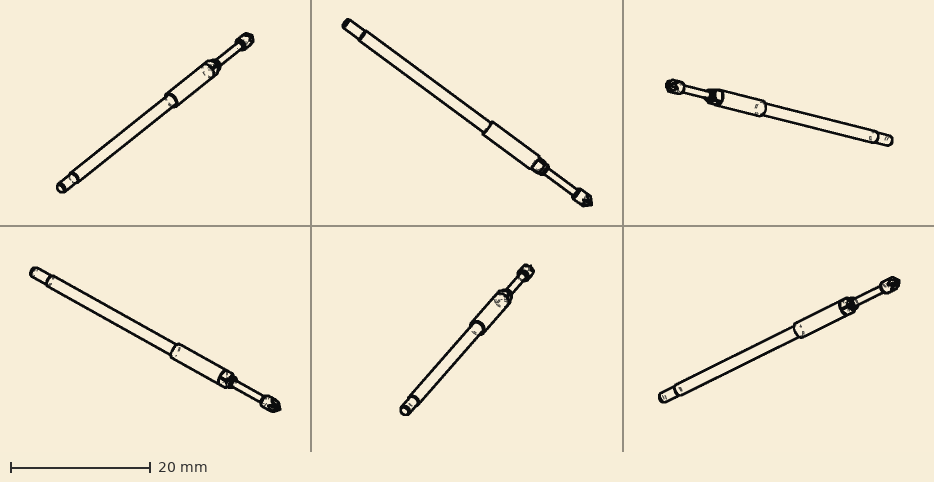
import cadquery as cq
import math

TOTAL_LENGTH = 44.3

HEAD_DIAMETER = 1.8
HEAD_LENGTH = 3.0
HEAD_CHAMFER_LENGTH = 0.27
HEAD_CHAMFER_DEPTH = 0.13

STAR_POINTS = 6
RIDGE_HALF_ANGLE = 45.0
VALLEY_HALF_ANGLE = 29.0

STEM_DIAMETER = 1.05

GUIDE_START = 8.3
GUIDE_DIAMETER = 1.74
GUIDE_CHAMFER_LENGTH = 0.27
GUIDE_CHAMFER_DEPTH = 0.13

FLATS_START = 9.0
FLATS_WIDTH = 1.75
FLATS_CORNER_CHAMFER = 0.2

COLLAR_START = 10.3
COLLAR_END = 18.75
COLLAR_DIAMETER = 2.3

BARREL_DIAMETER = GUIDE_DIAMETER
BARREL_END = 41.3
BARREL_CHAMFER_LENGTH = 0.15
BARREL_CHAMFER_DEPTH = 0.07

TAIL_DIAMETER = 1.5
TAIL_CHAMFER_LENGTH = 0.28
TAIL_CHAMFER_DEPTH = 0.14


def y_at(station):
    """Y of a station, with the part centred on the origin."""
    return TOTAL_LENGTH / 2 - station


def rod(diameter, start, end):
    """Round bar between two stations."""
    plane = cq.Workplane("XZ", origin=(0, y_at(start), 0))
    return plane.circle(diameter / 2).extrude(end - start)


def star_pyramid(height):
    """Pyramid with its apex at the tip and a star base of alternating ridges and valleys."""
    ridge_radius = height * math.tan(math.radians(RIDGE_HALF_ANGLE))
    valley_radius = height * math.tan(math.radians(VALLEY_HALF_ANGLE))
    corner_count = 2 * STAR_POINTS
    apex = cq.Vector(0, y_at(0), 0)
    corners = []
    for i in range(corner_count):
        radius = ridge_radius if i % 2 == 0 else valley_radius
        angle = 2 * math.pi * i / corner_count
        corners.append(cq.Vector(radius * math.cos(angle), y_at(height), radius * math.sin(angle)))
    faces = [cq.Face.makeFromWires(cq.Wire.makePolygon(corners, close=True))]
    for i, corner in enumerate(corners):
        next_corner = corners[(i + 1) % corner_count]
        side = cq.Wire.makePolygon([corner, next_corner, apex], close=True)
        faces.append(cq.Face.makeFromWires(side))
    return cq.Workplane(cq.Solid.makeSolid(cq.Shell.makeShell(faces)))


def head():
    """Six-ridged star point on a round head, chamfered at its back edge."""
    blank = rod(HEAD_DIAMETER, 0, HEAD_LENGTH)
    blank = blank.faces("<Y").chamfer(HEAD_CHAMFER_LENGTH, HEAD_CHAMFER_DEPTH)
    return blank.intersect(star_pyramid(HEAD_LENGTH))


def guide():
    """Chamfered round neck of the barrel with four wrench flats next to the collar."""
    neck = rod(GUIDE_DIAMETER, GUIDE_START, FLATS_START)
    neck = neck.faces(">Y").chamfer(GUIDE_CHAMFER_LENGTH, GUIDE_CHAMFER_DEPTH)
    flats_length = COLLAR_START - FLATS_START
    square = (
        cq.Workplane("XZ", origin=(0, y_at(FLATS_START), 0))
        .rect(FLATS_WIDTH, FLATS_WIDTH)
        .extrude(flats_length)
    )
    corner_blank = rod(COLLAR_DIAMETER, FLATS_START, COLLAR_START)
    corner_blank = corner_blank.faces(">Y").chamfer(FLATS_CORNER_CHAMFER)
    return neck.union(square.intersect(corner_blank))


def barrel():
    """Long round barrel, chamfered where it steps down to the tail."""
    body = rod(BARREL_DIAMETER, COLLAR_END, BARREL_END)
    return body.faces("<Y").chamfer(BARREL_CHAMFER_LENGTH, BARREL_CHAMFER_DEPTH)


def tail():
    """Thinner end of the probe with a chamfered rim."""
    body = rod(TAIL_DIAMETER, BARREL_END, TOTAL_LENGTH)
    return body.faces("<Y").chamfer(TAIL_CHAMFER_LENGTH, TAIL_CHAMFER_DEPTH)


stem = rod(STEM_DIAMETER, HEAD_LENGTH, GUIDE_START)
collar = rod(COLLAR_DIAMETER, COLLAR_START, COLLAR_END)

result = head().union(stem).union(guide()).union(collar).union(barrel()).union(tail())